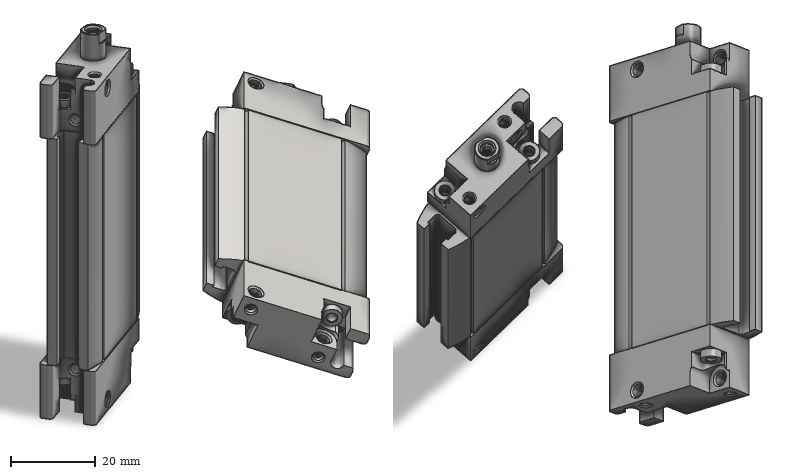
import cadquery as cq
import math


TOTAL_LENGTH = 94.0
CAP_LENGTH = 14.0
ROD_PROJECTION = 7.0
BARREL_LENGTH = TOTAL_LENGTH - 2 * CAP_LENGTH - ROD_PROJECTION

CAP_HALF_WIDTH = 14.0 / 2
CAP_BACK_Y = 13.1
CAP_FRONT_Y = -19.2
LUG_CORNER_RADIUS = 0.9

CHANNEL_HALF_WIDTH = 3.8
CHANNEL_FLOOR_Y = -13.3
CHANNEL_FILLET = 1.1
UNDERCUT_RADIUS = 3.3 / 2
UNDERCUT_X = 3.7

BARREL_HALF_WIDTH = 6.8
BARREL_HALF_DEPTH = 18.8
BARREL_END_HALF_WIDTH = 5.1
BARREL_FLANK_Y = 12.3
BARREL_FLANK_BULGE = 0.235
GROOVE_RADIUS = 0.5

SLOT_MOUTH_HALF_WIDTH = 2.7
SLOT_HALF_WIDTH = 3.3
SLOT_LIP = 1.9
SLOT_FLOOR_Y = 13.6
SLOT_FILLET = 0.9

CROSS_HOLE_DIAMETER = 3.2
CROSS_HOLE_MOUTH = 4.0
CROSS_HOLE_SPACING = 20.0
CROSS_HOLE_Y = CROSS_HOLE_SPACING / 2
CROSS_HOLE_DEPTH = 3.0
SPOT_FACE_RADIUS = -CHANNEL_FLOOR_Y - CROSS_HOLE_Y

SCREW_X = 3.8
SCREW_Y = 10.5
SCREW_HEAD_DIAMETER = 5.0
SCREW_HEAD_HEIGHT = 2.0
POCKET_RADIUS = 3.3
POCKET_DEPTH = 8.5
POCKET_WINDOW_X = 1.1
POCKET_END_Y = 14.0

THREAD_DIAMETER = 2.4
THREAD_MOUTH = 3.2
THREAD_DEPTH = 6.6
PORT_MOUTH = 3.3
PORT_DEPTH = 4.2
PORT_HEIGHT = 3.0
SCREW_HOLE_MOUTH = 2.8
SCREW_HOLE_DEPTH = 3.8
DRILL_POINT_ANGLE = 118.0

ROD_DIAMETER = 6.0
ROD_BORE_DIAMETER = 3.3
ROD_BORE_MOUTH = 4.1
ROD_BORE_DEPTH = 1.3
ROD_THREAD_DEPTH = 8.5
ROD_RIM_CHAMFER = 0.2
FLAT_WIDTH = 5.1
FLAT_LENGTH = 2.6
FLAT_ANGLE = -13.0


def box(x_range, y_range, z_range):
    """Box between two limits along each axis."""
    size = [high - low for low, high in (x_range, y_range, z_range)]
    return (
        cq.Workplane("XY")
        .box(*size, centered=False)
        .translate((x_range[0], y_range[0], z_range[0]))
    )


def drilled_hole(diameter, mouth, depth):
    """Blind hole going down from the origin, with a 45 degree mouth and a conical bottom."""
    radius = diameter / 2
    mouth_radius = mouth / 2
    point_length = radius / math.tan(math.radians(DRILL_POINT_ANGLE / 2))
    return (
        cq.Workplane("XZ")
        .moveTo(0, 0)
        .lineTo(mouth_radius, 0)
        .lineTo(radius, radius - mouth_radius)
        .lineTo(radius, -depth)
        .lineTo(0, -depth - point_length)
        .close()
        .revolve(360, (0, 0, 0), (0, 1, 0))
    )


def turned_half(shape):
    """The same shape turned half a turn about the rod axis."""
    return shape.rotate((0, 0, 0), (0, 0, 1), 180)


def cap_outline():
    """Cap block with rounded lugs and the undercut channel between them."""
    block = box((-CAP_HALF_WIDTH, CAP_HALF_WIDTH), (CAP_FRONT_Y, CAP_BACK_Y), (0, CAP_LENGTH))
    channel = (
        box((-CHANNEL_HALF_WIDTH, CHANNEL_HALF_WIDTH), (CAP_FRONT_Y, CHANNEL_FLOOR_Y), (0, CAP_LENGTH))
        .edges("|Z and >Y and <X")
        .fillet(CHANNEL_FILLET)
    )
    undercut = (
        cq.Workplane("XY")
        .center(UNDERCUT_X, CHANNEL_FLOOR_Y - UNDERCUT_RADIUS)
        .circle(UNDERCUT_RADIUS)
        .extrude(CAP_LENGTH)
    )
    return block.cut(channel).edges("|Z and <Y").fillet(LUG_CORNER_RADIUS).cut(undercut)


def spot_face():
    """U-shaped recess around the front cross hole, open to the outer end and the -X side."""
    axis_z = CAP_LENGTH - CROSS_HOLE_DEPTH
    round_end = (
        cq.Workplane("YZ")
        .center(-CROSS_HOLE_Y, axis_z)
        .circle(SPOT_FACE_RADIUS)
        .extrude(-CAP_HALF_WIDTH)
    )
    open_end = box(
        (-CAP_HALF_WIDTH, 0),
        (-CROSS_HOLE_Y - SPOT_FACE_RADIUS, -CROSS_HOLE_Y + SPOT_FACE_RADIUS),
        (axis_z, CAP_LENGTH),
    )
    return round_end.union(open_end)


def screw_pocket():
    """Pocket around the front screw head, open to the -X side and into the channel."""
    floor_z = CAP_LENGTH - POCKET_DEPTH
    pocket_top = CAP_LENGTH - CROSS_HOLE_DEPTH
    round_end = (
        cq.Workplane("XY", origin=(-SCREW_X, -SCREW_Y, floor_z))
        .circle(POCKET_RADIUS)
        .extrude(pocket_top - floor_z)
    )
    side_opening = box(
        (-CAP_HALF_WIDTH, -SCREW_X), (-SCREW_Y, -SCREW_Y + POCKET_RADIUS), (floor_z, pocket_top)
    )
    front_opening = box((-CAP_HALF_WIDTH, -POCKET_WINDOW_X), (-POCKET_END_Y, -SCREW_Y), (floor_z, CAP_LENGTH))
    return round_end.union(side_opening).union(front_opening)


def screw_head():
    """Head of the front screw, standing on the pocket floor as part of the cap."""
    floor_z = CAP_LENGTH - POCKET_DEPTH
    head = cq.Workplane("XY").circle(SCREW_HEAD_DIAMETER / 2).extrude(SCREW_HEAD_HEIGHT)
    return head.translate((-SCREW_X, -SCREW_Y, floor_z))


def screw_hole():
    """Blind hole down the middle of the front screw."""
    head_top = CAP_LENGTH - POCKET_DEPTH + SCREW_HEAD_HEIGHT
    hole = drilled_hole(THREAD_DIAMETER, SCREW_HOLE_MOUTH, SCREW_HOLE_DEPTH)
    return hole.translate((-SCREW_X, -SCREW_Y, head_top))


def cross_hole():
    """Hole along X at the back, from the -X side to the far spot face, widened at both mouths."""
    radius = CROSS_HOLE_DIAMETER / 2
    mouth_radius = CROSS_HOLE_MOUTH / 2
    bevel = mouth_radius - radius
    return (
        cq.Workplane("XY")
        .moveTo(-CAP_HALF_WIDTH, 0)
        .lineTo(-CAP_HALF_WIDTH, mouth_radius)
        .lineTo(-CAP_HALF_WIDTH + bevel, radius)
        .lineTo(-bevel, radius)
        .lineTo(0, mouth_radius)
        .lineTo(0, 0)
        .close()
        .revolve(360, (0, 0, 0), (1, 0, 0))
        .translate((0, CROSS_HOLE_Y, CAP_LENGTH - CROSS_HOLE_DEPTH))
    )


def thread_hole():
    """Blind mounting hole in the outer end of the cap, above the back cross hole."""
    hole = drilled_hole(THREAD_DIAMETER, THREAD_MOUTH, THREAD_DEPTH)
    return hole.translate((-SCREW_X, CROSS_HOLE_Y, CAP_LENGTH))


def air_port():
    """Blind air port in the floor of the channel, pointing along +Y."""
    hole = drilled_hole(THREAD_DIAMETER, PORT_MOUTH, PORT_DEPTH)
    return hole.rotate((0, 0, 0), (1, 0, 0), 90).translate((0, CHANNEL_FLOOR_Y, PORT_HEIGHT))


def end_cap():
    """End cap standing on the barrel at Z = 0, with its outer end up."""
    cap = cap_outline().cut(air_port())
    for recess in (spot_face(), screw_pocket(), cross_hole(), thread_hole()):
        cap = cap.cut(recess).cut(turned_half(recess))
    cap = cap.union(screw_head()).union(turned_half(screw_head()))
    return cap.cut(screw_hole()).cut(turned_half(screw_hole()))


def lower_cap():
    """Closed cap with its outer end on the ground."""
    return end_cap().mirror("XY").translate((0, 0, CAP_LENGTH))


def upper_cap():
    """Cap on top of the barrel, bored for the rod."""
    rod_bore = cq.Workplane("XY").circle(ROD_DIAMETER / 2).extrude(CAP_LENGTH)
    return end_cap().cut(rod_bore).translate((0, 0, CAP_LENGTH + BARREL_LENGTH))


def barrel_slot():
    """T-slot along the +Y end of the barrel."""
    mouth = box(
        (-SLOT_MOUTH_HALF_WIDTH, SLOT_MOUTH_HALF_WIDTH), (SLOT_FLOOR_Y, BARREL_HALF_DEPTH), (0, BARREL_LENGTH)
    )
    chamber = (
        box(
            (-SLOT_HALF_WIDTH, SLOT_HALF_WIDTH),
            (SLOT_FLOOR_Y, BARREL_HALF_DEPTH - SLOT_LIP),
            (0, BARREL_LENGTH),
        )
        .edges("|Z and <Y")
        .fillet(SLOT_FILLET)
    )
    return chamber.union(mouth)


def barrel():
    """Extruded tube with bowed ends, four shallow side grooves and a T-slot at each end."""
    bow_x = (BARREL_HALF_WIDTH + BARREL_END_HALF_WIDTH) / 2 + BARREL_FLANK_BULGE
    bow_y = (BARREL_FLANK_Y + BARREL_HALF_DEPTH) / 2
    body = (
        cq.Workplane("XY")
        .moveTo(BARREL_HALF_WIDTH, -BARREL_FLANK_Y)
        .lineTo(BARREL_HALF_WIDTH, BARREL_FLANK_Y)
        .threePointArc((bow_x, bow_y), (BARREL_END_HALF_WIDTH, BARREL_HALF_DEPTH))
        .lineTo(-BARREL_END_HALF_WIDTH, BARREL_HALF_DEPTH)
        .threePointArc((-bow_x, bow_y), (-BARREL_HALF_WIDTH, BARREL_FLANK_Y))
        .lineTo(-BARREL_HALF_WIDTH, -BARREL_FLANK_Y)
        .threePointArc((-bow_x, -bow_y), (-BARREL_END_HALF_WIDTH, -BARREL_HALF_DEPTH))
        .lineTo(BARREL_END_HALF_WIDTH, -BARREL_HALF_DEPTH)
        .threePointArc((bow_x, -bow_y), (BARREL_HALF_WIDTH, -BARREL_FLANK_Y))
        .close()
        .extrude(BARREL_LENGTH)
    )
    grooves = (
        cq.Workplane("XY")
        .rect(2 * BARREL_HALF_WIDTH, 2 * BARREL_FLANK_Y, forConstruction=True)
        .vertices()
        .circle(GROOVE_RADIUS)
        .extrude(BARREL_LENGTH)
    )
    slot = barrel_slot()
    return body.cut(grooves).cut(slot).cut(turned_half(slot)).translate((0, 0, CAP_LENGTH))


def rod_end_hole():
    """Short bore with a bevelled mouth, then a narrower blind thread hole, going down from the origin."""
    bore_radius = ROD_BORE_DIAMETER / 2
    bore = cq.Workplane("XY").circle(bore_radius).extrude(-ROD_BORE_DEPTH)
    mouth = drilled_hole(THREAD_DIAMETER, ROD_BORE_MOUTH, ROD_THREAD_DEPTH)
    return bore.union(mouth)


def piston_rod():
    """Rod through the upper cap, with a stepped end hole and two wrench flats."""
    length = CAP_LENGTH + ROD_PROJECTION
    rod = cq.Workplane("XY").circle(ROD_DIAMETER / 2).extrude(length).faces(">Z").chamfer(ROD_RIM_CHAMFER)
    flat_cut = box(
        (FLAT_WIDTH / 2, ROD_DIAMETER), (-ROD_DIAMETER, ROD_DIAMETER), (length - FLAT_LENGTH, length)
    ).rotate((0, 0, 0), (0, 0, 1), FLAT_ANGLE)
    rod = rod.cut(rod_end_hole().translate((0, 0, length))).cut(flat_cut).cut(turned_half(flat_cut))
    return rod.translate((0, 0, TOTAL_LENGTH - length))


bodies = (lower_cap(), barrel(), upper_cap(), piston_rod())
result = cq.Compound.makeCompound([solid for body in bodies for solid in body.solids().vals()])